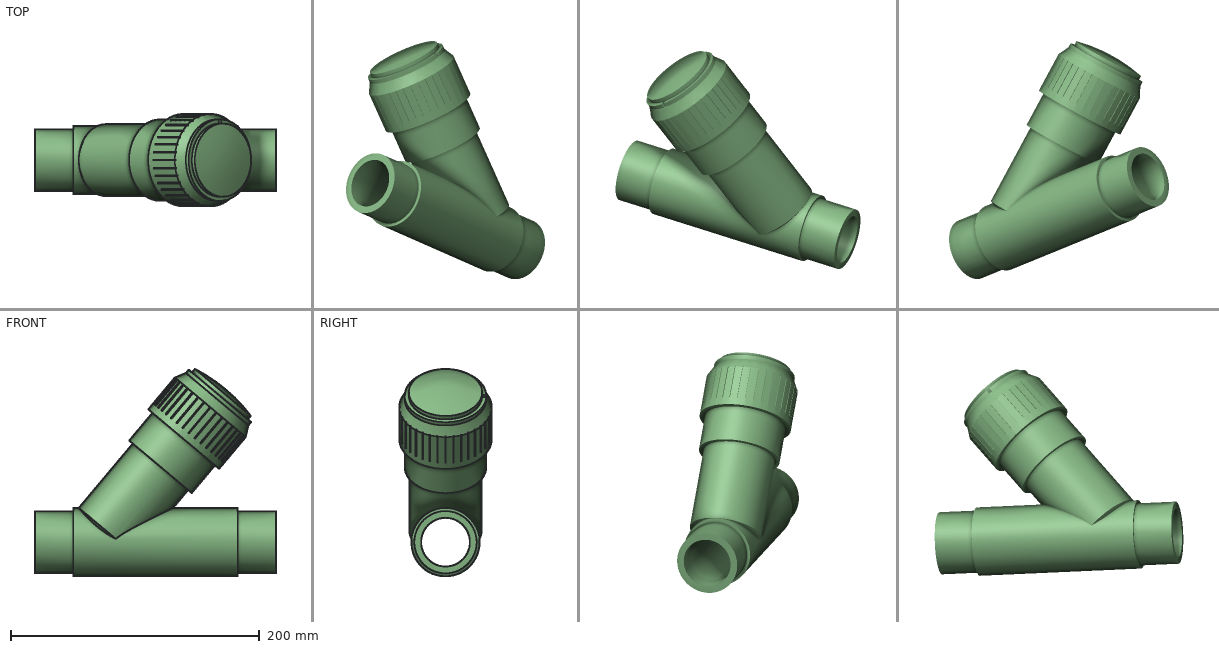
import cadquery as cq
import math

pipe_length = 194.0
spigot_diameter = 50.0
bore_diameter = 39.0
barrel_diameter = 55.0
barrel_length = 132.3

branch_angle = 50.0
branch_foot_x = -47.0
branch_diameter = 58.2
branch_base = 11.6
branch_nose_diameter = 38.8
branch_nose_height = 5.8
collar_diameter = 65.8
collar_base = 79.2

nut_diameter = 74.5
nut_base = 108.3
nut_shoulder = 141.6
ring_diameter = collar_diameter
ring_base = 150.2
ring_top = 153.6
cap_diameter = 59.0
cap_edge = 157.3
dome_height = 3.3

groove_count = 36
groove_width = 0.5
groove_depth = 0.8
groove_base = 114.5

ring_gap_width = 3.0

tilt = math.radians(branch_angle)
branch_frame = cq.Plane(
    origin=(branch_foot_x, 0, 0),
    xDir=(math.sin(tilt), 0, -math.cos(tilt)),
    normal=(math.cos(tilt), 0, math.sin(tilt)),
)


def cylinder_along_x(diameter, length):
    return cq.Workplane("YZ").circle(diameter / 2).extrude(length / 2, both=True)


def branch_cylinder(diameter, start, end):
    return cq.Workplane(branch_frame).workplane(offset=start).circle(diameter / 2).extrude(end - start)


def make_branch_nose():
    return (
        cq.Workplane(branch_frame)
        .workplane(offset=branch_base - branch_nose_height)
        .circle(branch_nose_diameter / 2)
        .workplane(offset=branch_nose_height)
        .circle(branch_diameter / 2)
        .loft(ruled=True)
    )


def make_housing():
    spigots = cylinder_along_x(spigot_diameter, pipe_length)
    barrel = cylinder_along_x(barrel_diameter, barrel_length)
    branch = branch_cylinder(branch_diameter, branch_base, collar_base)
    collar = branch_cylinder(collar_diameter, collar_base, nut_base)
    bore = cylinder_along_x(bore_diameter, pipe_length)
    return spigots.union(barrel).union(branch).union(make_branch_nose()).union(collar).cut(bore)


def make_nut_blank():
    nut_radius = nut_diameter / 2
    ring_radius = ring_diameter / 2
    cap_radius = cap_diameter / 2
    dome_sphere_radius = (cap_radius**2 + dome_height**2) / (2 * dome_height)
    dome_mid_x = cap_radius / 2
    dome_mid_z = cap_edge + dome_height - dome_sphere_radius + math.sqrt(dome_sphere_radius**2 - dome_mid_x**2)
    profile = (
        cq.Workplane("XZ")
        .moveTo(0, nut_base)
        .lineTo(nut_radius, nut_base)
        .lineTo(nut_radius, nut_shoulder)
        .lineTo(ring_radius, ring_base)
        .lineTo(ring_radius, ring_top)
        .lineTo(cap_radius, ring_top)
        .lineTo(cap_radius, cap_edge)
        .threePointArc((dome_mid_x, dome_mid_z), (0, cap_edge + dome_height))
        .close()
    )
    return profile.revolve(360, (0, 0, 0), (0, 1, 0))


def make_grip_grooves():
    cutter_radial_size = 2 * groove_depth
    groove_length = nut_shoulder - groove_base
    return (
        cq.Workplane("XY")
        .workplane(offset=groove_base)
        .polarArray(nut_diameter / 2, 0, 360, groove_count)
        .rect(cutter_radial_size, groove_width)
        .extrude(groove_length)
    )


def make_ring_gap():
    ring_height = ring_top - ring_base
    ring_plane = cq.Workplane("XY").workplane(offset=ring_base)
    slot = ring_plane.box(ring_gap_width, ring_diameter, ring_height, centered=(True, False, False))
    cap_core = ring_plane.circle(cap_diameter / 2).extrude(ring_height)
    return slot.cut(cap_core)


def make_nut():
    upright_nut = make_nut_blank().cut(make_grip_grooves()).cut(make_ring_gap())
    return cq.Workplane(upright_nut.val().moved(cq.Location(branch_frame)))


housing = make_housing()
nut = make_nut()
result = cq.Compound.makeCompound([housing.val(), nut.val()])